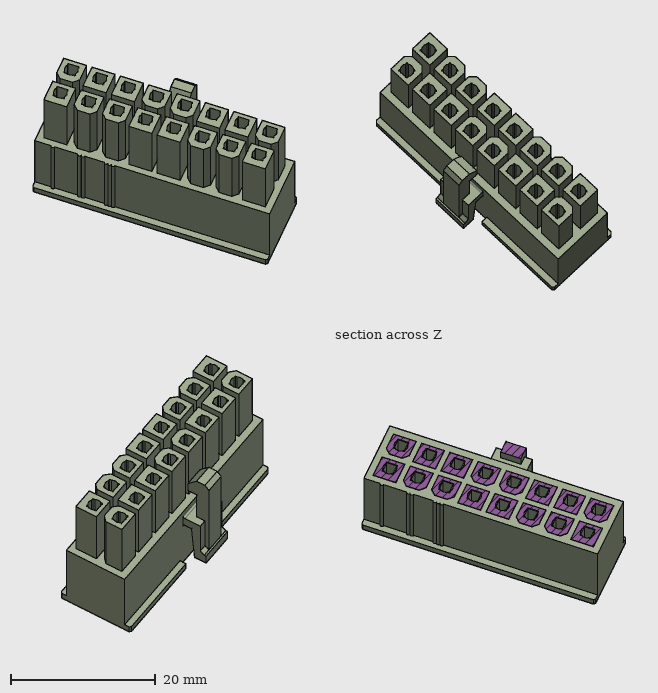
import cadquery as cq
import math

LENGTH = 34.8
BODY_DEPTH = 9.65
BODY_TOP = 10.7
TOTAL_DEPTH = 14.4
TOTAL_HEIGHT = 19.6
FLANGE_LIP = 0.97
FLANGE_DEPTH = BODY_DEPTH + 2 * FLANGE_LIP
FLANGE_HEIGHT = 1.05
FLANGE_CORNER = 0.25
BODY_BACK = BODY_DEPTH / 2
BODY_FRONT = -BODY_DEPTH / 2

COLUMNS = 8
COLUMN_SPAN = 29.4
PITCH = COLUMN_SPAN / (COLUMNS - 1)
TOWER_HEIGHT = TOTAL_HEIGHT - BODY_TOP
TOWER_SIDE = 3.4
TOWER_CHAMFER = 0.75
ROWS_OFFSET_Y = -0.1
REAR_KEYED = (0, 3, 4, 7)
FRONT_KEYED = (1, 2, 5, 6)

CAVITY_OFFSET_Y = 0.28
CAVITY_SIDE = 1.6
BULGE_RADIUS = 0.95
THROAT_SIDE = 1.5

RIB_WIDTH = 0.52
RIB_HEIGHT = 0.25
RIB_GROUPS = 3

LATCH_WIDTH = 5.4
LEVER_WIDTH = 3.05
FLANGE_GAP = 6.95
LATCH_BOTTOM = 2.2
LATCH_TOP = 16.98
THUMB_TOP = 3.7
THUMB_Y = TOTAL_DEPTH - FLANGE_DEPTH / 2
LEVER_OUTER_Y = 8.3
LEVER_INNER_Y = 6.3
LEVER_CHAMFER = 0.65
HOOK_BASE_Z = 14.05
HOOK_ROOT_Z = 14.13
HOOK_CHAMFER = 1.45
BRIDGE_BOTTOM = 7.97
BRIDGE_INNER_Y = 6.2
BRIDGE_TOP = 9.43
THUMB_INNER_Y = 6.68
ARM_OUTER_Y = 7.65
ARM_CHAMFER_TOP = 4.18
ROOT_FILLET = 0.28


def column_x(column):
    return (column - (COLUMNS - 1) / 2) * PITCH


def make_body():
    body = cq.Workplane("XY").box(LENGTH, BODY_DEPTH, BODY_TOP, centered=(True, True, False))
    flange = (
        cq.Workplane("XY")
        .box(LENGTH, FLANGE_DEPTH, FLANGE_HEIGHT, centered=(True, True, False))
        .edges("|Z")
        .chamfer(FLANGE_CORNER)
    )
    gap = (
        cq.Workplane("XY")
        .center(0, BODY_BACK + FLANGE_LIP / 2)
        .box(FLANGE_GAP, FLANGE_LIP, FLANGE_HEIGHT, centered=(True, True, False))
    )
    return body.union(flange.cut(gap))


def make_tower(x, y, keyed):
    tower = (
        cq.Workplane("XY", origin=(x, y, BODY_TOP))
        .rect(TOWER_SIDE, TOWER_SIDE)
        .extrude(TOWER_HEIGHT)
    )
    if keyed:
        tower = tower.edges("|Z and <Y").chamfer(TOWER_CHAMFER)
    return tower


def make_cavity(x, y):
    half = CAVITY_SIDE / 2
    upper = cq.Workplane("XY", origin=(x, y, BODY_TOP))
    back_strip = (
        upper.center(0, half + BULGE_RADIUS / 2)
        .rect(CAVITY_SIDE, BULGE_RADIUS)
        .extrude(TOWER_HEIGHT)
    )
    bulge = upper.circle(BULGE_RADIUS).extrude(TOWER_HEIGHT).cut(back_strip)
    mouth = upper.rect(CAVITY_SIDE, CAVITY_SIDE).extrude(TOWER_HEIGHT).union(bulge)

    side = THROAT_SIDE / 2
    arc_start = -math.sqrt(BULGE_RADIUS**2 - side**2)
    throat = (
        cq.Workplane("XY", origin=(x, y, 0))
        .moveTo(-side, side)
        .lineTo(-side, arc_start)
        .threePointArc((0, -BULGE_RADIUS), (side, arc_start))
        .lineTo(side, side)
        .close()
        .extrude(BODY_TOP)
    )
    return mouth.union(throat)


def make_rib(x):
    half = RIB_WIDTH / 2
    return (
        cq.Workplane("XY", origin=(x, BODY_FRONT, FLANGE_HEIGHT))
        .moveTo(-half, 0)
        .threePointArc((0, -RIB_HEIGHT), (half, 0))
        .close()
        .extrude(BODY_TOP - FLANGE_HEIGHT)
    )


def extrude_side_profile(points, width):
    return cq.Workplane("YZ").polyline(points).close().extrude(width / 2, both=True)


def make_latch():
    bridge_and_thumb = extrude_side_profile(
        [
            (BODY_BACK, BRIDGE_TOP),
            (ARM_OUTER_Y, BRIDGE_TOP),
            (ARM_OUTER_Y, ARM_CHAMFER_TOP),
            (LEVER_OUTER_Y, THUMB_TOP),
            (THUMB_Y, THUMB_TOP),
            (THUMB_Y, LATCH_BOTTOM),
            (THUMB_INNER_Y, LATCH_BOTTOM),
            (BRIDGE_INNER_Y, BRIDGE_BOTTOM),
            (BODY_BACK, BRIDGE_BOTTOM),
        ],
        LATCH_WIDTH,
    )
    lever = extrude_side_profile(
        [
            (LEVER_OUTER_Y, THUMB_TOP),
            (LEVER_OUTER_Y, LATCH_TOP - LEVER_CHAMFER),
            (LEVER_OUTER_Y - LEVER_CHAMFER, LATCH_TOP),
            (BODY_BACK + HOOK_CHAMFER, LATCH_TOP),
            (BODY_BACK, LATCH_TOP - HOOK_CHAMFER),
            (BODY_BACK, HOOK_BASE_Z),
            (LEVER_INNER_Y, HOOK_ROOT_Z),
            (LEVER_INNER_Y, BRIDGE_BOTTOM),
            (ARM_OUTER_Y, THUMB_TOP),
        ],
        LEVER_WIDTH,
    )
    return bridge_and_thumb.union(lever)


def at_latch_root(z):
    return cq.selectors.BoxSelector(
        (-LATCH_WIDTH, BODY_BACK - ROOT_FILLET, z - ROOT_FILLET),
        (LATCH_WIDTH, BODY_BACK + ROOT_FILLET, z + ROOT_FILLET),
    )


housing = make_body().union(make_latch())
for root_z in (BRIDGE_BOTTOM, BRIDGE_TOP):
    housing = housing.edges(at_latch_root(root_z)).edges("|X").fillet(ROOT_FILLET)

for row_side, keyed_columns in ((1, REAR_KEYED), (-1, FRONT_KEYED)):
    row_y = ROWS_OFFSET_Y + row_side * PITCH / 2
    for column in range(COLUMNS):
        housing = housing.union(make_tower(column_x(column), row_y, column in keyed_columns))
        housing = housing.cut(make_cavity(column_x(column), row_y + CAVITY_OFFSET_Y))

for column in range(RIB_GROUPS):
    for rib in range(column + 1):
        housing = housing.union(make_rib(column_x(column) + (rib - column / 2) * RIB_WIDTH))

result = housing